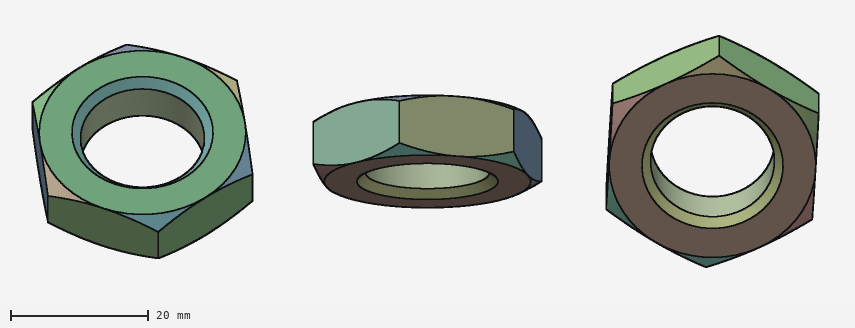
import cadquery as cq
import math

hexagon_sides = 6
across_flats = 30.0
thickness = 9.0
bore_diameter = 18.0
countersink_diameter = 20.5
countersink_depth = 1.3
corner_chamfer_angle = 30.0

flat_radius = across_flats / 2
corner_radius = flat_radius / math.cos(math.pi / hexagon_sides)
bore_radius = bore_diameter / 2
countersink_radius = countersink_diameter / 2
corner_drop = (corner_radius - flat_radius) * math.tan(math.radians(corner_chamfer_angle))


def hex_blank():
    """Hexagonal prism standing on Z = 0 with corners on the X axis."""
    return cq.Workplane("XY").polygon(hexagon_sides, 2 * corner_radius).extrude(thickness)


def turned_envelope():
    """Nut section revolved about Z: conical outer corners and a countersunk bore."""
    section = [
        (bore_radius, countersink_depth),
        (countersink_radius, 0),
        (flat_radius, 0),
        (corner_radius, corner_drop),
        (corner_radius, thickness - corner_drop),
        (flat_radius, thickness),
        (countersink_radius, thickness),
        (bore_radius, thickness - countersink_depth),
    ]
    return cq.Workplane("XZ").polyline(section).close().revolve(360, (0, 0, 0), (0, 1, 0))


result = hex_blank().intersect(turned_envelope())